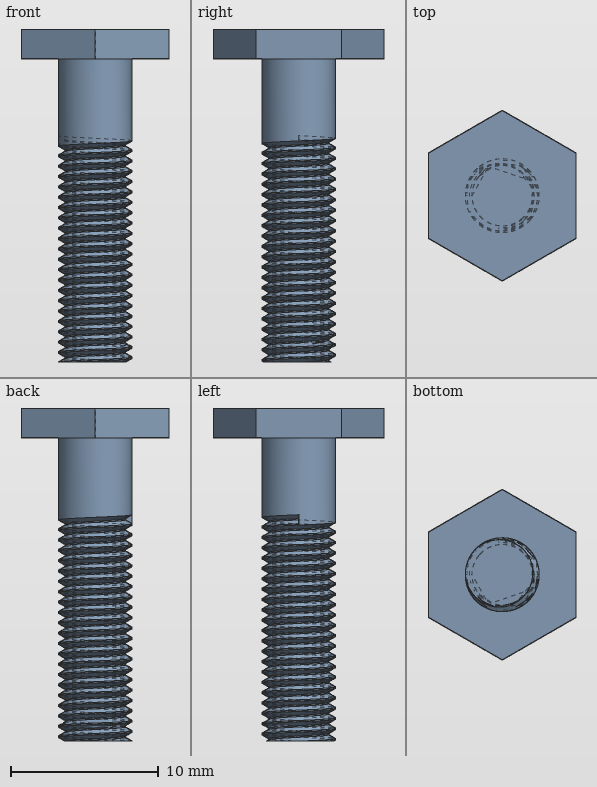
import cadquery as cq
import math

head_across_flats = 10.0
head_height = 2.0
half_sector = 30.0

shank_diameter = 5.0
shank_length = 20.5
shank_radius = shank_diameter / 2

thread_length = 15.0
thread_pitch = 0.7
crest_flat = thread_pitch / 8
root_flat = thread_pitch / 8
end_direction = 180.0
flank_angle = 30.0
mouth_width = thread_pitch - crest_flat
thread_depth = (mouth_width - root_flat) / 2 / math.tan(math.radians(flank_angle))

radial_overshoot = 0.05
runout_turns = 2


def make_head():
    """Hexagonal prism with two of its flats facing -X and +X."""
    across_corners = head_across_flats / math.cos(math.radians(half_sector))
    return (
        cq.Workplane("XY")
        .workplane(offset=shank_length)
        .transformed(rotate=(0, 0, half_sector))
        .polygon(6, across_corners)
        .extrude(head_height)
    )


def make_shank():
    """Plain cylinder between the tip and the underside of the head."""
    shank = cq.Workplane("XY").circle(shank_radius).extrude(shank_length)
    return shank.rotate((0, 0, 0), (0, 0, 1), end_direction)


def make_groove():
    """Helical V groove whose upper end stops abruptly on the -X side."""
    turns = math.ceil(thread_length / thread_pitch) + runout_turns
    helix_height = turns * thread_pitch
    helix = cq.Workplane(obj=cq.Wire.makeHelix(thread_pitch, helix_height, shank_radius))

    outer_radius = shank_radius + radial_overshoot
    root_radius = shank_radius - thread_depth
    half_outer = mouth_width / 2 + radial_overshoot * math.tan(math.radians(flank_angle))
    half_root = root_flat / 2
    section = (
        cq.Workplane("XZ")
        .moveTo(root_radius, -half_root)
        .lineTo(outer_radius, -half_outer)
        .lineTo(outer_radius, half_outer)
        .lineTo(root_radius, half_root)
        .close()
    )
    groove = section.sweep(helix, isFrenet=True)

    groove = groove.rotate((0, 0, 0), (0, 0, 1), end_direction)
    return groove.translate((0, 0, thread_length - helix_height))


result = make_shank().cut(make_groove()).union(make_head())